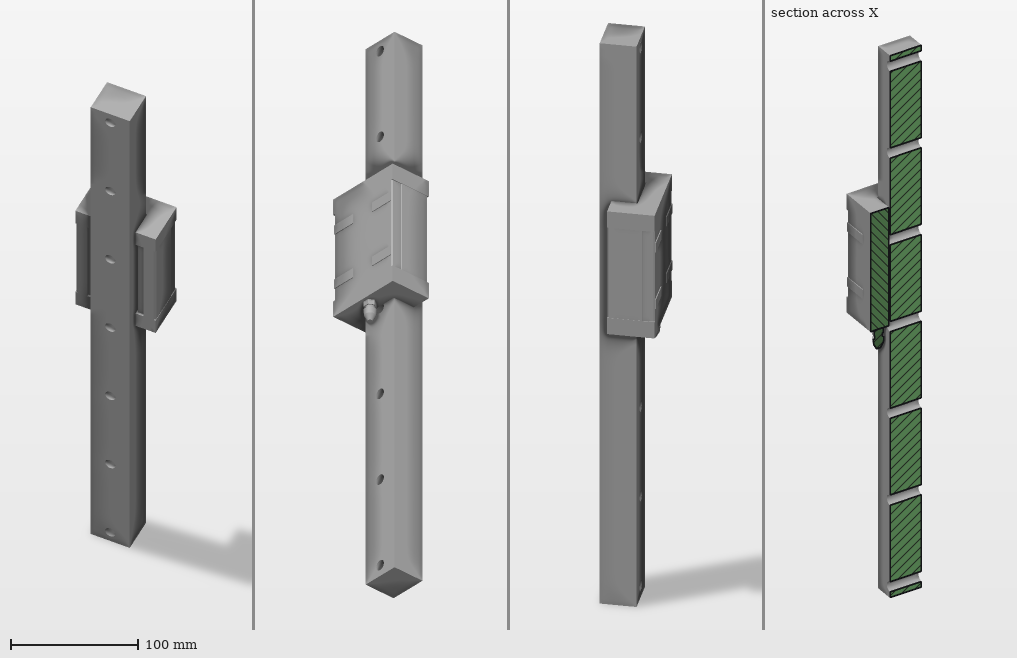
import cadquery as cq
import math

rail_length = 500.0
rail_width = 34.0
rail_depth = 29.5
bolt_hole_diameter = 9.0
bolt_hole_count = 7
bolt_hole_pitch = 80.0

carriage_bottom = 1.0
carriage_length = 109.5
carriage_front = 9.5
carriage_back = 47.5
cap_length = 14.5
cap_width = 70.0
cap_clearance = 0.5
back_clearance = 1.0

block_width = 69.5
block_clearance = 1.5
block_length = carriage_length - 2 * cap_length
block_bottom = carriage_bottom + cap_length
front_chamfer = 1.6
back_chamfer = 1.1
shoulder_y = 37.5
shoulder_step = 0.5
recess_width = 7.5
recess_depth = 2.0

pad_width = 22.0
pad_length = 8.5
pad_height = 0.7
pad_pitch = 50.5
pad_outer_x = block_width / 2 - shoulder_step - back_chamfer

nipple_y = 40.0
hex_across_flats = 9.0
neck_radius = 3.75
head_radius = 5.25
head_shoulder_radius = 4.75
tip_radius = 2.0
hex_end = 4.5
neck_end = 7.5
head_shoulder = 12.5
tip_end = 17.5


def box(width, y_from, y_to, z_from, length):
    """Box centred on X = 0, between two Y values, rising from z_from."""
    return (
        cq.Workplane("XY", origin=(0, (y_from + y_to) / 2, z_from))
        .rect(width, y_to - y_from)
        .extrude(length)
    )


def make_rail():
    rail = box(rail_width, 0, rail_depth, -rail_length / 2, rail_length)
    first_hole = -(bolt_hole_count - 1) * bolt_hole_pitch / 2
    for i in range(bolt_hole_count):
        hole = (
            cq.Workplane("XZ", origin=(0, 0, first_hole + i * bolt_hole_pitch))
            .circle(bolt_hole_diameter / 2)
            .extrude(-rail_depth)
        )
        rail = rail.cut(hole)
    return rail


def cut_rail_opening(body, clearance, z_from, length):
    """Cut the channel that the rail runs through."""
    opening_width = rail_width + 2 * clearance
    opening_back = rail_depth + back_clearance
    return body.cut(box(opening_width, carriage_front, opening_back, z_from, length))


def make_block():
    half = block_width / 2
    narrow_half = half - shoulder_step
    right_side = [
        (half - front_chamfer, carriage_front),
        (half, carriage_front + front_chamfer),
        (half, shoulder_y),
        (narrow_half, shoulder_y + shoulder_step),
        (narrow_half, carriage_back - back_chamfer),
        (narrow_half - back_chamfer, carriage_back),
    ]
    left_side = [(-x, y) for x, y in reversed(right_side)]
    block = (
        cq.Workplane("XY", origin=(0, 0, block_bottom))
        .polyline(right_side + left_side)
        .close()
        .extrude(block_length)
    )
    block = cut_rail_opening(block, block_clearance, block_bottom, block_length)

    recess_span = rail_width + 2 * recess_width
    recess_floor = carriage_front + recess_depth
    recess = box(recess_span, carriage_front, recess_floor, block_bottom, block_length)
    return block.cut(recess)


def make_end_cap(z_from):
    cap = box(cap_width, carriage_front, carriage_back, z_from, cap_length)
    return cut_rail_opening(cap, cap_clearance, z_from, cap_length)


def add_mounting_pads(carriage):
    middle = carriage_bottom + carriage_length / 2
    pad_x = pad_outer_x - pad_width / 2
    pad = box(pad_width, carriage_back, carriage_back + pad_height, middle - pad_length / 2, pad_length)
    for side in (-1, 1):
        for end in (-1, 1):
            carriage = carriage.union(pad.translate((side * pad_x, 0, end * pad_pitch / 2)))
    return carriage


def make_carriage():
    carriage = make_block()
    for z_from in (carriage_bottom, block_bottom + block_length):
        carriage = carriage.union(make_end_cap(z_from))
    return add_mounting_pads(carriage).clean()


def make_nipple():
    hexagon_diameter = hex_across_flats / math.cos(math.pi / 6)
    base = (
        cq.Workplane("XY", origin=(0, nipple_y, carriage_bottom))
        .polygon(6, hexagon_diameter)
        .extrude(-hex_end)
    )
    profile = [
        (0, -hex_end),
        (neck_radius, -hex_end),
        (neck_radius, -neck_end),
        (head_radius, -neck_end),
        (head_shoulder_radius, -head_shoulder),
        (tip_radius, -tip_end),
        (0, -tip_end),
    ]
    head = (
        cq.Workplane("XZ", origin=(0, nipple_y, carriage_bottom))
        .polyline(profile)
        .close()
        .revolve(360, (0, 0, 0), (0, 1, 0))
    )
    return base.union(head)


rail = make_rail()
carriage = make_carriage()
nipple = make_nipple()

result = cq.Compound.makeCompound([rail.val(), carriage.val(), nipple.val()])